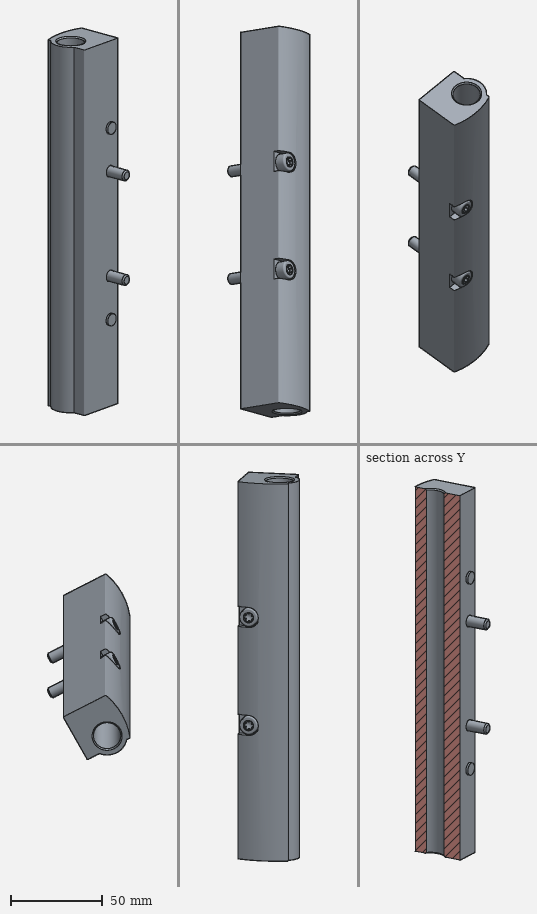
import cadquery as cq
import math


LENGTH = 210.0
WIDTH = 29.0
BACK_Y = 6.5
DEPTH = 28.0
CROWN_HEIGHT = 2.5
FRONT_Y = BACK_Y - DEPTH
CORNER_RADIUS = 0.5
MIDDLE_Y = BACK_Y - DEPTH / 2
EDGE_X = CROWN_HEIGHT - WIDTH

BORE_X = -16.0
BORE_DIAMETER = 15.0
BORE_MOUTH_DIAMETER = 16.4
TOTAL_DEPTH = 32.0
BORE_WALL_RADIUS = 11.0
BORE_Y = BACK_Y - TOTAL_DEPTH + BORE_WALL_RADIUS

SCREW_SPACING = 60.0
SCREW_DIAMETER = 6.0
SCREW_PROJECTION = 12.0
SCREW_CHAMFER = 0.8
HEAD_DIAMETER = 10.0
HEAD_HEIGHT = 5.9
HEAD_FILLET = 0.8
SOCKET_DEPTH = 2.0
SOCKET_TIP_DEPTH = 1.0
SOCKET_MOUTH_DEPTH = 0.2
SOCKET_LOBES = 6
SOCKET_CORE_DIAMETER = 4.0
LOBE_DIAMETER = 1.7
SOCKET_DIAMETER = 5.7
LOBE_CIRCLE_DIAMETER = SOCKET_DIAMETER - LOBE_DIAMETER
HEAD_FACE_X = -WIDTH
SEAT_X = HEAD_FACE_X + HEAD_HEIGHT

CLEARANCE_DIAMETER = 6.5
SLOT_WIDTH = 11.1

PIN_SPACING = 110.0
PIN_DIAMETER = 7.0
PIN_PROJECTION = 1.3
PIN_DEPTH = 6.3


def spaced_pair(spacing):
    """Heights of two places set evenly about the middle of the rail."""
    return [LENGTH / 2 - spacing / 2, LENGTH / 2 + spacing / 2]


SCREW_HEIGHTS = spaced_pair(SCREW_SPACING)
PIN_HEIGHTS = spaced_pair(PIN_SPACING)


def x_rod(diameter, start_x, end_x, z=0.0, y=0.0):
    """Cylinder along X between two positions."""
    plane = cq.Workplane("YZ", origin=(start_x, y, z))
    return plane.circle(diameter / 2).extrude(end_x - start_x)


def make_profile():
    """Crowned block joined with the rounded wall around the bore."""
    block = (
        cq.Workplane("XY")
        .moveTo(0, FRONT_Y)
        .lineTo(0, BACK_Y)
        .lineTo(EDGE_X, BACK_Y)
        .threePointArc((-WIDTH, MIDDLE_Y), (EDGE_X, FRONT_Y))
        .close()
        .extrude(LENGTH)
        .edges("|Z")
        .fillet(CORNER_RADIUS)
    )
    bore_wall = cq.Workplane("XY").center(BORE_X, BORE_Y).circle(BORE_WALL_RADIUS).extrude(LENGTH)
    return block.union(bore_wall)


def make_bore():
    """Through bore with a chamfered mouth at each end."""
    bore = cq.Workplane("XY").center(BORE_X, BORE_Y).circle(BORE_DIAMETER / 2).extrude(LENGTH)
    mouth_flare = (BORE_MOUTH_DIAMETER - BORE_DIAMETER) / 2
    lower_mouth = cq.Solid.makeCone(
        BORE_MOUTH_DIAMETER / 2, BORE_DIAMETER / 2, mouth_flare, cq.Vector(BORE_X, BORE_Y, 0)
    )
    upper_mouth = lower_mouth.mirror("XY", cq.Vector(0, 0, LENGTH / 2))
    return bore.union(cq.Workplane(lower_mouth)).union(cq.Workplane(upper_mouth))


def make_screw_opening(z):
    """Clearance hole with a round-ended head slot that is open at the back."""
    seat = x_rod(SLOT_WIDTH, HEAD_FACE_X, SEAT_X, z)
    mouth = (
        cq.Workplane("XY")
        .box(HEAD_HEIGHT, BACK_Y, SLOT_WIDTH, centered=(False, False, True))
        .translate((HEAD_FACE_X, 0, z))
    )
    return x_rod(CLEARANCE_DIAMETER, SEAT_X, 0, z).union(seat).union(mouth)


def make_rail():
    rail = make_profile().cut(make_bore())
    for z in SCREW_HEIGHTS:
        rail = rail.cut(make_screw_opening(z))
    for z in PIN_HEIGHTS:
        rail = rail.cut(x_rod(PIN_DIAMETER, -PIN_DEPTH, 0, z))
    return rail


def make_socket():
    """Six-lobe drive socket with a shallow round mouth and a conical bottom."""
    socket_end_x = HEAD_FACE_X + SOCKET_DEPTH + SOCKET_TIP_DEPTH
    lobed_hole = x_rod(SOCKET_CORE_DIAMETER, HEAD_FACE_X, socket_end_x)
    for lobe in range(SOCKET_LOBES):
        angle = 2 * math.pi * lobe / SOCKET_LOBES
        lobe_y = LOBE_CIRCLE_DIAMETER / 2 * math.cos(angle)
        lobe_z = LOBE_CIRCLE_DIAMETER / 2 * math.sin(angle)
        lobed_hole = lobed_hole.union(x_rod(LOBE_DIAMETER, HEAD_FACE_X, socket_end_x, lobe_z, lobe_y))
    envelope = (
        cq.Workplane("XY")
        .moveTo(HEAD_FACE_X, 0)
        .lineTo(HEAD_FACE_X, SOCKET_DIAMETER / 2)
        .lineTo(HEAD_FACE_X + SOCKET_DEPTH, SOCKET_DIAMETER / 2)
        .lineTo(socket_end_x, 0)
        .close()
        .revolve(360, (0, 0, 0), (1, 0, 0))
    )
    mouth = x_rod(SOCKET_DIAMETER, HEAD_FACE_X, HEAD_FACE_X + SOCKET_MOUTH_DEPTH)
    return lobed_hole.intersect(envelope).union(mouth)


def make_screw(z):
    head = x_rod(HEAD_DIAMETER, HEAD_FACE_X, SEAT_X).faces("<X").edges().fillet(HEAD_FILLET)
    shank = x_rod(SCREW_DIAMETER, SEAT_X, SCREW_PROJECTION).faces(">X").edges().chamfer(SCREW_CHAMFER)
    return head.union(shank).cut(make_socket()).translate((0, 0, z))


def make_pin(z):
    return x_rod(PIN_DIAMETER, -PIN_DEPTH, PIN_PROJECTION, z)


rail = make_rail()
screws = [make_screw(z) for z in SCREW_HEIGHTS]
pins = [make_pin(z) for z in PIN_HEIGHTS]

result = cq.Compound.makeCompound(
    [rail.val(), *[screw.val() for screw in screws], *[pin.val() for pin in pins]]
)